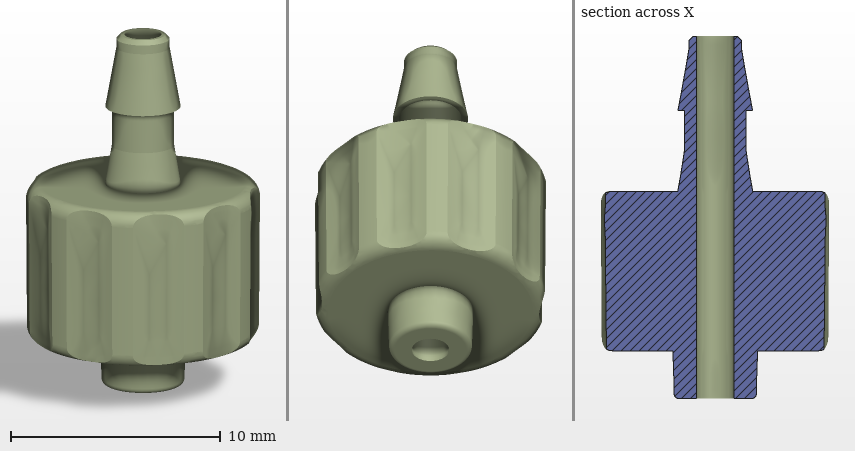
import cadquery as cq
import math

total_height = 17.3
collar_bottom = 2.28
collar_top = 9.91
neck_bottom = 11.82
barb_bottom = 13.74
barb_top = 16.66

bore_radius = 1.78 / 2
tip_radius = 2.55 / 2
neck_radius = 2.98 / 2
barb_radius = 1.8
spigot_tip_radius = 1.97
spigot_root_radius = 2.05
tip_chamfer = 0.2
spigot_fillet = 0.26

collar_top_radius = 5.59
collar_bottom_radius = 5.54
collar_fillet = 0.64
flute_count = 10
flute_width = 2.45
flute_floor = 5.25


def make_stem():
    """Revolve the spigot, tapered root, neck and hose barb as one profile."""
    profile = [
        (0, 0),
        (spigot_tip_radius, 0),
        (spigot_root_radius, collar_bottom),
        (spigot_root_radius, collar_bottom + collar_fillet),
        (barb_radius, collar_top),
        (neck_radius, neck_bottom),
        (neck_radius, barb_bottom),
        (barb_radius, barb_bottom),
        (tip_radius, barb_top),
        (tip_radius, total_height - tip_chamfer),
        (tip_radius - tip_chamfer, total_height),
        (0, total_height),
    ]
    stem = cq.Workplane("XZ").polyline(profile).close().revolve(360, (0, 0), (0, 1))
    return stem.faces("<Z").edges().fillet(spigot_fillet)


def make_collar():
    """Slightly tapered, rounded collar with shallow arc flutes around it."""
    collar_height = collar_top - collar_bottom
    collar = (
        cq.Workplane("XZ")
        .moveTo(0, collar_bottom)
        .lineTo(collar_bottom_radius, collar_bottom)
        .lineTo(collar_top_radius, collar_top)
        .lineTo(0, collar_top)
        .close()
        .revolve(360, (0, 0), (0, 1))
        .edges()
        .fillet(collar_fillet)
    )
    chord_distance = math.sqrt(collar_top_radius**2 - (flute_width / 2) ** 2)
    flute_depth = chord_distance - flute_floor
    flute_radius = ((flute_width / 2) ** 2 + flute_depth**2) / (2 * flute_depth)
    collar_draft = collar_top_radius - collar_bottom_radius
    draft_angle = math.degrees(math.atan2(collar_draft, collar_height))
    angle_step = 360 / flute_count
    flute_cutter = (
        cq.Workplane("XY", origin=(flute_floor + flute_radius, 0, collar_bottom))
        .circle(flute_radius + collar_draft)
        .extrude(collar_height, taper=draft_angle)
    )
    for index in range(flute_count):
        angle = (index + 0.5) * angle_step
        collar = collar.cut(flute_cutter.rotate((0, 0, 0), (0, 0, 1), angle))
    return collar


bore = cq.Workplane("XY").circle(bore_radius).extrude(total_height)
result = make_stem().union(make_collar()).cut(bore)